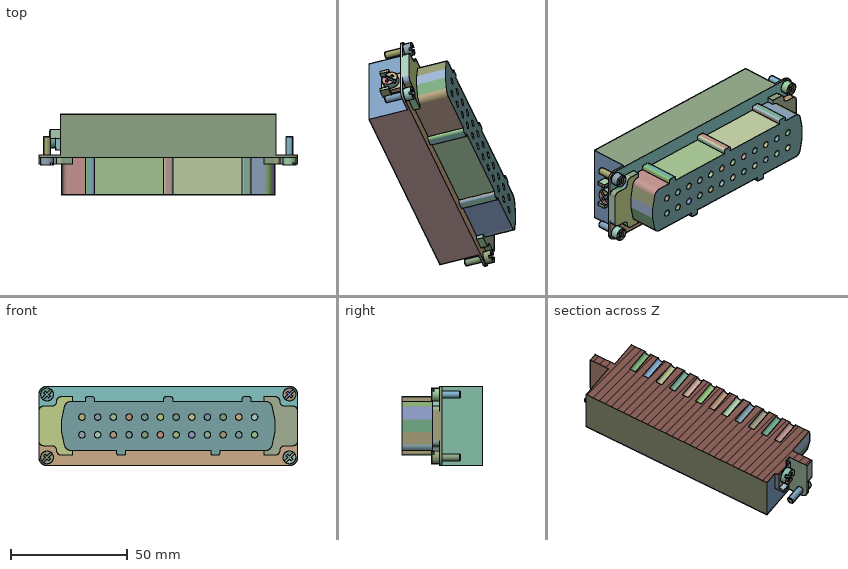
import cadquery as cq


FLANGE_LENGTH = 111.0
FLANGE_HEIGHT = 34.0
FLANGE_THICKNESS = 1.0
FLANGE_CORNER_RADIUS = 3.4
BODY_LENGTH = 92.6
BODY_DEPTH = 17.5

PAD_THICKNESS = 3.0
PAD_FRONT_Y = -FLANGE_THICKNESS - PAD_THICKNESS
PAD_INNER_X = 41.1
PAD_SHOULDER_X = 47.9
PAD_OUTER_HALF_HEIGHT = 8.5
PAD_RADIUS = 2.0

TONGUE_FRONT_Y = -17.1
TONGUE_HALF_LENGTH = 45.75
TONGUE_HALF_HEIGHT = 10.55
END_FLAT_HALF_HEIGHT = 2.6
TONGUE_TOP_HALF_LENGTH = 44.1
TONGUE_CORNER_RADIUS = 3.0

CONTACT_COLUMNS = 12
CONTACT_PITCH = 6.73
CONTACT_ROW_SPACING = 7.6
CONTACT_DIAMETER = 2.8
CONTACT_DEPTH = 12.0

RIB_WIDTH = 3.9
RIB_TOP_Z = 12.55
RIB_EDGE_RADIUS = 0.9
TOP_RIB_PITCHES = (-5, 0, 5)
BOTTOM_RIB_PITCHES = (-3, 3)

SCREW_SPACING_X = 104.0
SCREW_SPACING_Z = 27.0
SCREW_HEAD_DIAMETER = 5.5
SCREW_HEAD_HEIGHT = 3.4
SHANK_DIAMETER = 3.0
SHANK_END_Y = 8.0
SHANK_CHAMFER = 0.3

SCREW_DRIVE_WIDTH = 1.0
DRIVE_DEPTH = 1.0
DRIVE_ANGLE = 45.0
SCREW_CROSS_LENGTH = 3.0

EAR_REAR_Y = 11.0
EAR_FRONT_Y = 7.1
EAR_PROTRUSION = 4.4
EAR_OUTER_HALF_HEIGHT = 5.9
CLAMP_HALF_HEIGHT = 4.5
CLAMP_FRONT_Y = 2.1
CLAMP_PROTRUSION = 2.0
CLAMP_SCREW_Y = 6.5
CLAMP_SCREW_DIAMETER = 7.0
CLAMP_SCREW_PROTRUSION = 4.7
CLAMP_DRIVE_WIDTH = 1.2
CLAMP_CROSS_LENGTH = 4.2

OVERLAP = 0.5


def box(x_range, y_range, z_range):
    """Box spanning the given (low, high) ranges."""
    size = [high - low for low, high in (x_range, y_range, z_range)]
    corner = (x_range[0], y_range[0], z_range[0])
    return cq.Workplane("XY").box(*size, centered=False).translate(corner)


def forward_plane(start_y):
    """XZ workplane at start_y; positive extrusion runs toward -Y."""
    return cq.Workplane("XZ", origin=(0, start_y, 0))


def make_body():
    half_length = BODY_LENGTH / 2
    half_height = FLANGE_HEIGHT / 2
    return box((-half_length, half_length), (-OVERLAP, BODY_DEPTH), (-half_height, half_height))


def make_flange():
    flange = forward_plane(0).rect(FLANGE_LENGTH, FLANGE_HEIGHT).extrude(FLANGE_THICKNESS)
    return flange.edges("|Y").fillet(FLANGE_CORNER_RADIUS)


def make_end_pad():
    """Pad at the +X end: a tall inner block and a lower outer block."""
    outer_x = FLANGE_LENGTH / 2
    y_range = (PAD_FRONT_Y, -OVERLAP)
    inner = box((PAD_INNER_X, PAD_SHOULDER_X), y_range, (-RIB_TOP_Z, RIB_TOP_Z))
    outer = box((PAD_INNER_X, outer_x), y_range, (-PAD_OUTER_HALF_HEIGHT, PAD_OUTER_HALF_HEIGHT))
    rounded = cq.selectors.BoxSelector(
        (PAD_INNER_X + OVERLAP, PAD_FRONT_Y - OVERLAP, -RIB_TOP_Z - OVERLAP),
        (outer_x + OVERLAP, OVERLAP, RIB_TOP_Z + OVERLAP),
    )
    return inner.union(outer).edges("|Y").edges(rounded).fillet(PAD_RADIUS)


def make_tongue():
    right_end = [
        (TONGUE_TOP_HALF_LENGTH, -TONGUE_HALF_HEIGHT),
        (TONGUE_HALF_LENGTH, -END_FLAT_HALF_HEIGHT),
        (TONGUE_HALF_LENGTH, END_FLAT_HALF_HEIGHT),
        (TONGUE_TOP_HALF_LENGTH, TONGUE_HALF_HEIGHT),
    ]
    left_end = [(-x, -z) for x, z in right_end]
    outline = forward_plane(-OVERLAP).polyline(right_end + left_end).close()
    tongue = outline.extrude(-OVERLAP - TONGUE_FRONT_Y)
    return tongue.faces(">Z or <Z").edges("|Y").fillet(TONGUE_CORNER_RADIUS)


def make_top_rib(x):
    x_range = (x - RIB_WIDTH / 2, x + RIB_WIDTH / 2)
    z_range = (TONGUE_HALF_HEIGHT - OVERLAP, RIB_TOP_Z)
    rib = box(x_range, (TONGUE_FRONT_Y, -OVERLAP), z_range)
    return rib.edges("|Y and >Z").fillet(RIB_EDGE_RADIUS)


def make_contact_holes():
    return (
        forward_plane(TONGUE_FRONT_Y)
        .rarray(CONTACT_PITCH, CONTACT_ROW_SPACING, CONTACT_COLUMNS, 2)
        .circle(CONTACT_DIAMETER / 2)
        .extrude(-CONTACT_DEPTH)
    )


def make_screw(diameter, height, drive_width, cross_length):
    """Screw head on Z = 0 with its slot along X and the short arm along Y."""
    head = cq.Workplane("XY").circle(diameter / 2).extrude(height)
    drive = cq.Workplane("XY", origin=(0, 0, height))
    slot_length = 2 * diameter
    slot = drive.rect(slot_length, drive_width).extrude(-DRIVE_DEPTH)
    cross = drive.rect(drive_width, cross_length).extrude(-DRIVE_DEPTH)
    return head.cut(slot).cut(cross)


def make_mounting_screw(x, z):
    head = make_screw(
        SCREW_HEAD_DIAMETER, SCREW_HEAD_HEIGHT, SCREW_DRIVE_WIDTH, SCREW_CROSS_LENGTH
    )
    head = head.rotate((0, 0, 0), (0, 0, 1), DRIVE_ANGLE).rotate((0, 0, 0), (1, 0, 0), 90)
    shank = forward_plane(SHANK_END_Y).circle(SHANK_DIAMETER / 2).extrude(SHANK_END_Y + OVERLAP)
    shank = shank.faces(">Y").chamfer(SHANK_CHAMFER)
    return head.translate((0, -FLANGE_THICKNESS, 0)).union(shank).translate((x, 0, z))


def make_earth_terminal():
    end_x = -BODY_LENGTH / 2
    root_x = end_x + OVERLAP
    terminal = box(
        (end_x - CLAMP_PROTRUSION, root_x),
        (CLAMP_FRONT_Y, EAR_REAR_Y),
        (-CLAMP_HALF_HEIGHT, CLAMP_HALF_HEIGHT),
    )
    for z_range in (
        (CLAMP_HALF_HEIGHT, EAR_OUTER_HALF_HEIGHT),
        (-EAR_OUTER_HALF_HEIGHT, -CLAMP_HALF_HEIGHT),
    ):
        ear = box((end_x - EAR_PROTRUSION, root_x), (EAR_FRONT_Y, EAR_REAR_Y), z_range)
        terminal = terminal.union(ear)
    height = CLAMP_SCREW_PROTRUSION + OVERLAP
    screw = make_screw(CLAMP_SCREW_DIAMETER, height, CLAMP_DRIVE_WIDTH, CLAMP_CROSS_LENGTH)
    screw = screw.rotate((0, 0, 0), (0, 0, 1), DRIVE_ANGLE).rotate((0, 0, 0), (0, 1, 0), -90)
    return terminal.union(screw.translate((root_x, CLAMP_SCREW_Y, 0)))


result = make_body().union(make_flange()).union(make_tongue())

end_pad = make_end_pad()
result = result.union(end_pad).union(end_pad.mirror("YZ"))

for pitches in TOP_RIB_PITCHES:
    result = result.union(make_top_rib(pitches * CONTACT_PITCH))
for pitches in BOTTOM_RIB_PITCHES:
    result = result.union(make_top_rib(pitches * CONTACT_PITCH).mirror("XY"))

result = result.cut(make_contact_holes())

for x in (-SCREW_SPACING_X / 2, SCREW_SPACING_X / 2):
    for z in (-SCREW_SPACING_Z / 2, SCREW_SPACING_Z / 2):
        result = result.union(make_mounting_screw(x, z))

result = result.union(make_earth_terminal())